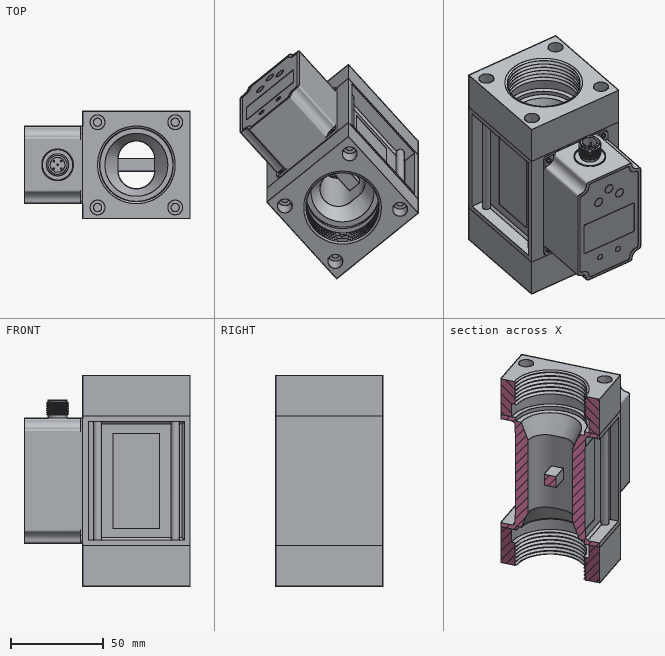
import cadquery as cq

TOTAL_HEIGHT = 114.0
BLOCK_SIDE = 58.0
BODY_HEIGHT = 69.9
END_HEIGHT = (TOTAL_HEIGHT - BODY_HEIGHT) / 2
HALF_SIDE = BLOCK_SIDE / 2
BODY_TOP = BODY_HEIGHT / 2

ROD_DIAMETER = 4.5
ROD_X = 21.0
ROD_Y = 23.0
ROD_SPOTS = [(x, y) for x in (-ROD_X, ROD_X) for y in (-ROD_Y, ROD_Y)]
COUNTERBORE_DIAMETER = 8.0
COUNTERBORE_DEPTH = 11.4
ROD_LENGTH = TOTAL_HEIGHT - 2 * COUNTERBORE_DEPTH

PORT_CREST_DIAMETER = 39.5
PORT_ROOT_DIAMETER = 42.0
PORT_PITCH = 2.3
PORT_TURNS = 6
PORT_LEAD_IN = 0.6
UNDERCUT_DIAMETER = 45.1

SEAT_DIAMETER = 40.0
SEAT_DEPTH = 2.3
FUNNEL_DIAMETER = 34.0
FUNNEL_DEPTH = 10.3
CHANNEL_WIDTH = 19.8
CHANNEL_LENGTH = 25.8
SENSOR_BAR_SIDE = 7.0

RECESS_WIDTH = 52.0
RECESS_HEIGHT = 64.1
RECESS_DEPTH = 8.3
FLOOR_CHAMFER = 1.4
LEFT_FLOOR_CHAMFER = 3.8
PANEL_WIDTH = 25.1
PANEL_HEIGHT = 51.3
MARK_DEPTH = 0.1

HOUSING_WIDTH = 42.0
HOUSING_HEIGHT = 67.7
HOUSING_LENGTH = 31.5
FLANGE_THICKNESS = 1.1
FLANGE_CORNER_RADIUS = 1.7
NOTCH_SIDE = 5.8
NOTCH_MOUTH_RADIUS = 1.4
SCREW_INSET = 2.8
SCREW_HEAD_DIAMETER = 2.7
SCREW_HEAD_DEPTH = 0.6
SCREW_DIAMETER = 2.0
SCREW_DEPTH = 3.4
HOUSING_FACE_X = -HALF_SIDE - HOUSING_LENGTH
FLANGE_X = -HALF_SIDE - FLANGE_THICKNESS

LABEL_INSET = 1.6
DISPLAY_WIDTH = 33.5
DISPLAY_HEIGHT = 19.8
DISPLAY_Z = -4.7
DISPLAY_RADIUS = 1.0
LED_DIAMETER = 5.2
LED_SPOTS = [(0, 22.7), (-7.0, 16.6), (7.0, 16.6)]
BUTTON_DIAMETER = 3.3
BUTTON_SPOTS = [(-5.9, -21.8), (5.9, -21.8)]

PLUG_DISTANCE = 13.6
PLUG_X = -HALF_SIDE - PLUG_DISTANCE
PLUG_BASE_Z = HOUSING_HEIGHT / 2
PLUG_HEIGHT = 9.8
PLUG_DIAMETER = 10.3
PLUG_CREST_DIAMETER = 12.0
PLUG_PITCH = 1.0
PLUG_TURNS = 7
PLUG_FOOT_HEIGHT = 1.7
PLUG_THREAD_Z = PLUG_BASE_Z + PLUG_FOOT_HEIGHT
PLUG_BORE_DIAMETER = 8.0
PLUG_BORE_DEPTH = 6.8
PIN_DIAMETER = 0.8
PIN_HEIGHT = 4.1
PIN_OFFSET = 2.0
PLUG_RING_DIAMETER = 17.1
PLUG_RING_WIDTH = 0.3
PLUG_RING_DEPTH = 0.6


def zigzag(z_start, step, turns, start_radius, mid_radius):
    """(radius, z) points of V-shaped thread turns that begin and end at start_radius."""
    points = [(start_radius, z_start)]
    for turn in range(turns):
        points.append((mid_radius, z_start + (turn + 0.5) * step))
        points.append((start_radius, z_start + (turn + 1) * step))
    return points


def box_on_side(width, height, depth, x_face):
    """Box that reaches from x_face toward +X, centred on Y and Z."""
    return cq.Workplane("YZ", origin=(x_face, 0, 0)).rect(width, height).extrude(depth)


def rod_cylinders(diameter, z_bottom, height):
    """Four cylinders on the tie rod axes, used both for the rods and for their holes."""
    rod_ends = cq.Workplane("XY", origin=(0, 0, z_bottom)).pushPoints(ROD_SPOTS)
    return rod_ends.circle(diameter / 2).extrude(height)


def make_end_block():
    """Upper end block: threaded port over a wider undercut, and counterbored rod holes."""
    block = cq.Workplane("XY", origin=(0, 0, BODY_TOP)).rect(BLOCK_SIDE, BLOCK_SIDE).extrude(END_HEIGHT)
    top = TOTAL_HEIGHT / 2
    crest = PORT_CREST_DIAMETER / 2
    root = PORT_ROOT_DIAMETER / 2
    undercut = UNDERCUT_DIAMETER / 2
    thread = zigzag(top - PORT_LEAD_IN, -PORT_PITCH, PORT_TURNS, crest, root)
    thread_end = thread[-1][1]
    lower_part = [(undercut, thread_end), (undercut, BODY_TOP), (0, BODY_TOP)]
    port_profile = [(0, top), (root, top)] + thread + lower_part
    port = cq.Workplane("XZ").polyline(port_profile).close().revolve(360, (0, 0), (0, 1))
    block = block.cut(port)
    block = block.cut(rod_cylinders(ROD_DIAMETER, BODY_TOP, END_HEIGHT))
    return block.cut(rod_cylinders(COUNTERBORE_DIAMETER, top - COUNTERBORE_DEPTH, COUNTERBORE_DEPTH))


def make_recess():
    """Volume of the recess in the -Y side, its floor edges bevelled, with a shallow panel in the floor."""
    floor_y = RECESS_DEPTH - HALF_SIDE
    recess_floor = cq.Workplane("XZ", origin=(0, floor_y, 0))
    recess = recess_floor.rect(RECESS_WIDTH, RECESS_HEIGHT).extrude(RECESS_DEPTH)
    recess = recess.faces(">Y").edges("not <X").chamfer(FLOOR_CHAMFER)
    left_x = -RECESS_WIDTH / 2
    left_bevel = (
        cq.Workplane("XY", origin=(0, 0, -RECESS_HEIGHT / 2))
        .moveTo(left_x, floor_y)
        .lineTo(left_x + LEFT_FLOOR_CHAMFER, floor_y)
        .lineTo(left_x, floor_y - LEFT_FLOOR_CHAMFER)
        .close()
        .extrude(RECESS_HEIGHT)
    )
    panel = recess_floor.rect(PANEL_WIDTH, PANEL_HEIGHT).extrude(-MARK_DEPTH)
    return recess.cut(left_bevel).union(panel)


def make_flow_channel():
    """Straight slot-shaped channel that widens through a funnel into a round seat at each end."""
    seat_floor = BODY_TOP - SEAT_DEPTH
    channel = cq.Workplane("XY").slot2D(CHANNEL_LENGTH, CHANNEL_WIDTH, 90).extrude(BODY_TOP, both=True)
    seat = cq.Workplane("XY", origin=(0, 0, seat_floor)).circle(SEAT_DIAMETER / 2).extrude(SEAT_DEPTH)
    funnel = (
        cq.Workplane("XY", origin=(0, 0, seat_floor - FUNNEL_DEPTH))
        .slot2D(CHANNEL_LENGTH, CHANNEL_WIDTH, 90)
        .workplane(offset=FUNNEL_DEPTH)
        .circle(FUNNEL_DIAMETER / 2)
        .loft(ruled=True)
    )
    upper_end = seat.union(funnel)
    return channel.union(upper_end).union(upper_end.mirror("XY"))


def notched_prism(inset, length):
    """Prism from the housing face toward +X: the notched housing outline, shrunk by inset all round."""
    side = HOUSING_WIDTH / 2 - inset
    top = HOUSING_HEIGHT / 2 - inset
    mouth = NOTCH_MOUTH_RADIUS
    hollow = NOTCH_SIDE - mouth
    quarter = (
        cq.Workplane("YZ", origin=(HOUSING_FACE_X, 0, 0))
        .lineTo(0, top)
        .lineTo(side - NOTCH_SIDE - mouth, top)
        .radiusArc((side - NOTCH_SIDE, top - mouth), mouth)
        .radiusArc((side - mouth, top - NOTCH_SIDE), -hollow)
        .radiusArc((side, top - NOTCH_SIDE - mouth), mouth)
        .lineTo(side, 0)
        .close()
        .extrude(length)
    )
    upper_half = quarter.union(quarter.mirror("XZ"))
    return upper_half.union(upper_half.mirror("XY"))


def make_housing():
    """Electronics housing with notched corners, on a flange with rounded corners."""
    housing = cut_operating_panel(notched_prism(0, HOUSING_LENGTH))
    flange = box_on_side(HOUSING_WIDTH, HOUSING_HEIGHT, FLANGE_THICKNESS, FLANGE_X)
    return housing.union(flange.edges("|X").fillet(FLANGE_CORNER_RADIUS))


def cut_operating_panel(housing):
    """Shallow label recess that follows the housing outline, with display, LEDs and buttons set into it."""
    housing = housing.cut(notched_prism(LABEL_INSET, MARK_DEPTH))
    label_plane = cq.Workplane("YZ", origin=(HOUSING_FACE_X + MARK_DEPTH, 0, 0))
    display = label_plane.center(0, DISPLAY_Z).rect(DISPLAY_WIDTH, DISPLAY_HEIGHT).extrude(MARK_DEPTH)
    display = display.edges("|X").fillet(DISPLAY_RADIUS)
    leds = label_plane.pushPoints(LED_SPOTS).circle(LED_DIAMETER / 2).extrude(MARK_DEPTH)
    buttons = label_plane.pushPoints(BUTTON_SPOTS).circle(BUTTON_DIAMETER / 2).extrude(MARK_DEPTH)
    return housing.cut(display).cut(leds).cut(buttons)


def make_screw_holes():
    """Stepped screw holes in the corners of the housing flange."""
    y = HOUSING_WIDTH / 2 - SCREW_INSET
    z = HOUSING_HEIGHT / 2 - SCREW_INSET
    corners = cq.Workplane("YZ", origin=(FLANGE_X, 0, 0)).rect(2 * y, 2 * z, forConstruction=True).vertices()
    heads = corners.circle(SCREW_HEAD_DIAMETER / 2).extrude(SCREW_HEAD_DEPTH)
    shanks = corners.circle(SCREW_DIAMETER / 2).extrude(SCREW_DEPTH)
    return heads.union(shanks)


def make_plug():
    """Threaded connector sleeve with five pins in its bore."""
    top = PLUG_BASE_Z + PLUG_HEIGHT
    radius = PLUG_DIAMETER / 2
    thread = zigzag(PLUG_THREAD_Z, PLUG_PITCH, PLUG_TURNS, radius, PLUG_CREST_DIAMETER / 2)
    sleeve_profile = [(0, PLUG_BASE_Z), (radius, PLUG_BASE_Z)] + thread + [(radius, top), (0, top)]
    sleeve = cq.Workplane("XZ").polyline(sleeve_profile).close().revolve(360, (0, 0), (0, 1))
    bore_floor = cq.Workplane("XY", origin=(0, 0, top - PLUG_BORE_DEPTH))
    bore = bore_floor.circle(PLUG_BORE_DIAMETER / 2).extrude(PLUG_BORE_DEPTH)
    pin_spots = [(0, 0)] + [(x, y) for x in (-PIN_OFFSET, PIN_OFFSET) for y in (-PIN_OFFSET, PIN_OFFSET)]
    pins = bore_floor.pushPoints(pin_spots).circle(PIN_DIAMETER / 2).extrude(PIN_HEIGHT)
    return sleeve.cut(bore).union(pins).translate((PLUG_X, 0, 0))


def make_plug_ring():
    """Narrow ring groove around the foot of the connector."""
    outer = PLUG_RING_DIAMETER / 2
    floor = cq.Workplane("XY", origin=(PLUG_X, 0, PLUG_BASE_Z - PLUG_RING_DEPTH))
    return floor.circle(outer).circle(outer - PLUG_RING_WIDTH).extrude(PLUG_RING_DEPTH)


def make_meter_body():
    """Centre body in one piece with its sensor bar, electronics housing and connector."""
    body = cq.Workplane("XY").box(BLOCK_SIDE, BLOCK_SIDE, BODY_HEIGHT)
    recess = make_recess()
    body = body.cut(recess).cut(recess.mirror("XZ"))
    body = body.cut(make_flow_channel())
    body = body.cut(rod_cylinders(ROD_DIAMETER, -BODY_TOP, BODY_HEIGHT))
    body = body.union(cq.Workplane("XY").box(CHANNEL_WIDTH, SENSOR_BAR_SIDE, SENSOR_BAR_SIDE))
    body = body.union(make_housing()).cut(make_screw_holes())
    return body.union(make_plug()).cut(make_plug_ring())


meter_body = make_meter_body()
upper_end_block = make_end_block()
end_blocks = [upper_end_block.val(), upper_end_block.mirror("XY").val()]
tie_rods = rod_cylinders(ROD_DIAMETER, -ROD_LENGTH / 2, ROD_LENGTH)

result = cq.Compound.makeCompound([meter_body.val(), *end_blocks, *tie_rods.vals()])